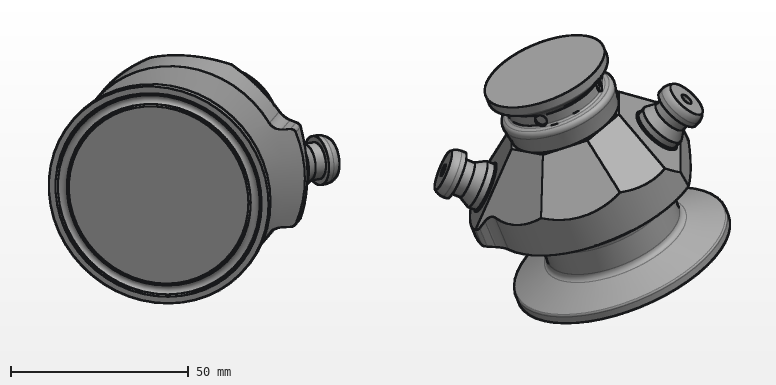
import cadquery as cq
import math

overall_length = 64.0
body_radius = 30.9
body_edge_y = 22.35
facet_end_y = 47.3
facet_end_radius = 16.1
cone_rise = 0.487

flange_radius = 32.0
flange_rim_width = 2.6
flange_back_rise = 0.37
flange_rim_fillet = 0.6
neck_radius = 20.01
neck_fillet = 2.0
neck_cone_overlap = 2.4
groove_outer_radius = 29.4
groove_inner_radius = 26.8
groove_depth = 1.3
groove_chamfer_width = 0.6
groove_chamfer_depth = 0.2

collar_radius = 17.2
collar_shoulder_y = 53.9
collar_fillet = 1.6
waist_radius = 14.2
waist_start_y = 54.7
waist_end_y = 58.4
waist_fillet = 0.6
ferrule_radius = 18.0
ferrule_rim_y = 61.1
ferrule_rim_fillet = 0.55
pin_hole_diameter = 3.5
pin_hole_y = 56.5
pin_hole_floor_diameter = 27.0
pin_hole_turn = 15.9
pin_hole_count = 4

facet_count = 8
facet_slope = 45
steep_slope = 30
flat_top_y = 27.7
flat_slope = 4.3

pad_radius = 35.9
pad_half_width = 14.5
pad_root_fillet = 4.05
pad_corner_fillet = 1.6

right_nozzle_y = 34.95
left_nozzle_y = 35.3
nozzle_radius = 14.0 / 2
nozzle_neck_radius = 10.5 / 2
nozzle_foot_radius = 7.45
nozzle_tip_radius = 5.95
nozzle_crown_radius = 6.7
nozzle_foot_height = 0.4
nozzle_base_height = 2.5
nozzle_cone_height = 5.7
nozzle_neck_height = 9.0
nozzle_cap_height = 10.6
nozzle_length = 13.1
nozzle_bore_diameter = 3.5
nozzle_bore_depth = 7.9
nozzle_root_depth = 1.6

reach = 95.1


def turned(corners):
    """Turn a profile of (radius, y, fillet) corners about the Y axis."""
    path = cq.Workplane("XY").moveTo(*corners[0][:2])
    for before, corner, after in zip(corners, corners[1:], corners[2:] + corners[:1]):
        point, fillet = cq.Vector(*corner[:2]), corner[2]
        if fillet == 0:
            path = path.lineTo(point.x, point.y)
            continue
        to_before = (cq.Vector(*before[:2]) - point).normalized()
        to_after = (cq.Vector(*after[:2]) - point).normalized()
        half_angle = to_before.getAngle(to_after) / 2
        start = point + to_before * (fillet / math.tan(half_angle))
        end = point + to_after * (fillet / math.tan(half_angle))
        bisector = (to_before + to_after).normalized()
        middle = point + bisector * (fillet / math.sin(half_angle) - fillet)
        path = path.lineTo(start.x, start.y).threePointArc((middle.x, middle.y), (end.x, end.y))
    return path.close().revolve(360, (0, 0, 0), (0, 1, 0))


def beyond_facet(turn, slope, radius, y):
    """Block outside a facet: turn is measured about Y from +X, slope from the Y axis."""
    block = cq.Workplane("XY").box(reach, reach, reach, centered=(False, True, True))
    block = block.rotate((0, 0, 0), (0, 0, 1), slope).translate((radius, y, 0))
    return block.rotate((0, 0, 0), (0, 1, 0), turn)


def pad_plan():
    """Pad as an extrusion along Y, blended into the body cylinder and rounded at its corners."""
    root_x = math.sqrt((body_radius + pad_root_fillet) ** 2 - (pad_half_width + pad_root_fillet) ** 2)
    root_scale = body_radius / (body_radius + pad_root_fillet)
    tangent_x = root_x * root_scale
    tangent_z = (pad_half_width + pad_root_fillet) * root_scale
    root_turn = (math.atan2(pad_half_width + pad_root_fillet, root_x) + math.pi / 2) / 2
    root_mid_x = root_x - pad_root_fillet * math.cos(root_turn)
    root_mid_z = pad_half_width + pad_root_fillet - pad_root_fillet * math.sin(root_turn)

    corner_z = pad_half_width - pad_corner_fillet
    corner_x = math.sqrt((pad_radius - pad_corner_fillet) ** 2 - corner_z ** 2)
    corner_scale = pad_radius / (pad_radius - pad_corner_fillet)
    rim_x, rim_z = corner_x * corner_scale, corner_z * corner_scale
    corner_turn = (math.atan2(corner_z, corner_x) + math.pi / 2) / 2
    corner_mid_x = corner_x + pad_corner_fillet * math.cos(corner_turn)
    corner_mid_z = corner_z + pad_corner_fillet * math.sin(corner_turn)

    outline = (
        cq.Workplane("XZ")
        .moveTo(0, 0)
        .lineTo(tangent_x, tangent_z)
        .threePointArc((root_mid_x, root_mid_z), (root_x, pad_half_width))
        .lineTo(corner_x, pad_half_width)
        .threePointArc((corner_mid_x, corner_mid_z), (rim_x, rim_z))
        .threePointArc((pad_radius, 0), (rim_x, -rim_z))
        .threePointArc((corner_mid_x, -corner_mid_z), (corner_x, -pad_half_width))
        .lineTo(root_x, -pad_half_width)
        .threePointArc((root_mid_x, -root_mid_z), (tangent_x, -tangent_z))
        .close()
    )
    return outline.extrude(-facet_end_y)


def faceted_body():
    plan = cq.Workplane("XZ").circle(body_radius).extrude(-facet_end_y).union(pad_plan())
    cone_start_y = body_edge_y - (body_radius - neck_radius) * cone_rise
    cone_end_y = body_edge_y + (pad_radius - body_radius) * cone_rise
    envelope = turned([
        (0, cone_start_y, 0),
        (neck_radius, cone_start_y, 0),
        (pad_radius, cone_end_y, 0),
        (pad_radius, facet_end_y, 0),
        (0, facet_end_y, 0),
    ])
    body = plan.intersect(envelope)
    for index in range(facet_count):
        turn = index * 360 / facet_count
        slope = steep_slope if turn == 180 else facet_slope
        body = body.cut(beyond_facet(turn, slope, facet_end_radius, facet_end_y))
    flat_radius = facet_end_radius + (facet_end_y - flat_top_y) * math.tan(math.radians(steep_slope))
    return body.cut(beyond_facet(180, flat_slope, flat_radius, flat_top_y))


def front_flange():
    flange_corner_y = flange_rim_width + (flange_radius - neck_radius) * flange_back_rise
    cone_start_y = body_edge_y - (body_radius - neck_radius) * cone_rise
    overlap_y = cone_start_y + neck_cone_overlap * cone_rise
    flange = turned([
        (0, 0, 0),
        (flange_radius, 0, 0),
        (flange_radius, flange_rim_width, flange_rim_fillet),
        (neck_radius, flange_corner_y, neck_fillet),
        (neck_radius, cone_start_y, neck_fillet),
        (neck_radius + neck_cone_overlap, overlap_y, 0),
        (0, overlap_y, 0),
    ])
    groove_middle_radius = (groove_inner_radius + groove_outer_radius) / 2
    groove = (
        cq.Workplane("XY")
        .moveTo(groove_inner_radius - groove_chamfer_width, 0)
        .lineTo(groove_inner_radius, groove_chamfer_depth)
        .threePointArc((groove_middle_radius, groove_depth), (groove_outer_radius, groove_chamfer_depth))
        .lineTo(groove_outer_radius + groove_chamfer_width, 0)
        .close()
        .revolve(360, (0, 0, 0), (0, 1, 0))
    )
    return flange.cut(groove)


def rear_ferrule():
    ferrule = turned([
        (0, facet_end_y, 0),
        (facet_end_radius, facet_end_y, 0),
        (collar_radius, collar_shoulder_y, collar_fillet),
        (waist_radius, waist_start_y, waist_fillet),
        (waist_radius, waist_end_y, waist_fillet),
        (ferrule_radius, ferrule_rim_y, ferrule_rim_fillet),
        (ferrule_radius, overall_length, 0),
        (0, overall_length, 0),
    ])
    for index in range(pin_hole_count):
        hole = cq.Workplane("XY").circle(pin_hole_diameter / 2).extrude(ferrule_radius)
        hole = hole.translate((0, pin_hole_y, 0))
        hole = hole.rotate((0, 0, 0), (0, 1, 0), index * 360 / pin_hole_count - pin_hole_turn)
        core = cq.Workplane("XZ").circle(pin_hole_floor_diameter / 2).extrude(-overall_length)
        ferrule = ferrule.cut(hole.cut(core))
    return ferrule


def nozzle():
    """Nozzle along +Y with its foot at the origin."""
    rim_middle_height = (nozzle_cap_height + nozzle_length) / 2
    return (
        cq.Workplane("XY")
        .moveTo(0, -nozzle_root_depth)
        .lineTo(nozzle_foot_radius, -nozzle_root_depth)
        .lineTo(nozzle_foot_radius, 0)
        .lineTo(nozzle_radius, nozzle_foot_height)
        .lineTo(nozzle_radius, nozzle_base_height)
        .lineTo(nozzle_neck_radius, nozzle_cone_height)
        .lineTo(nozzle_neck_radius, nozzle_neck_height)
        .lineTo(nozzle_radius, nozzle_neck_height)
        .lineTo(nozzle_radius, nozzle_cap_height)
        .threePointArc((nozzle_crown_radius, rim_middle_height), (nozzle_tip_radius, nozzle_length))
        .lineTo(0, nozzle_length)
        .close()
        .revolve(360, (0, 0, 0), (0, 1, 0))
        .faces(">Y")
        .workplane()
        .hole(nozzle_bore_diameter, nozzle_bore_depth)
    )


def placed_nozzle(side, slope, base_y):
    """Stand a nozzle square on the +X (side = 1) or -X (side = -1) facet."""
    distance = facet_end_radius + (facet_end_y - base_y) * math.tan(math.radians(slope))
    leaning = nozzle().rotate((0, 0, 0), (0, 0, 1), -side * (90 - slope))
    return leaning.translate((side * distance, base_y, 0))


result = faceted_body().union(front_flange()).union(rear_ferrule())
result = result.union(placed_nozzle(1, facet_slope, right_nozzle_y))
result = result.union(placed_nozzle(-1, steep_slope, left_nozzle_y))